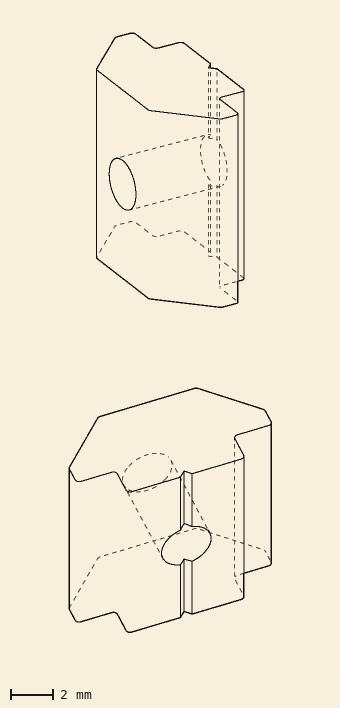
import cadquery as cq
import math

width = 10.0
depth = 5.0
height = 10.0

front_width = 5.0
shoulder_y = 3.5
tongue_width = 6.0
flank_angle = 45.0
flank_run = (width - front_width) / 2
flank_top_y = flank_run * math.tan(math.radians(flank_angle))

tongue_radius = 0.2
shoulder_radius = 0.2
inner_radius = 0.2
flank_radius = 0.2

groove_width = 0.6
groove_depth = groove_width / 2
hole_diameter = 2.53

match_tolerance = 0.001


def vertical_edges_at(body, half_x, y):
    """Select the mirrored pair of vertical edges at X = +/-half_x."""
    points = [cq.Vector(side * half_x, y, height / 2) for side in (-1, 1)]
    return body.edges("|Z").filter(
        lambda edge: any((edge.Center() - point).Length < match_tolerance for point in points)
    )


right_half = [
    (front_width / 2, 0),
    (width / 2, flank_top_y),
    (width / 2, shoulder_y),
    (tongue_width / 2, shoulder_y),
    (tongue_width / 2, depth),
]
left_half = [(-x, y) for x, y in reversed(right_half)]
body = cq.Workplane("XY").polyline(right_half + left_half).close().extrude(height)

corner_radii = [flank_radius, flank_radius, shoulder_radius, inner_radius, tongue_radius]
for (half_x, y), radius in zip(right_half, corner_radii):
    body = vertical_edges_at(body, half_x, y).fillet(radius)

groove = (
    cq.Workplane("XY")
    .polyline([(-groove_width / 2, depth), (0, depth - groove_depth), (groove_width / 2, depth)])
    .close()
    .extrude(height)
)

hole = (
    cq.Workplane("XZ")
    .center(0, height / 2)
    .circle(hole_diameter / 2)
    .extrude(-depth)
)

result = body.cut(groove).cut(hole)